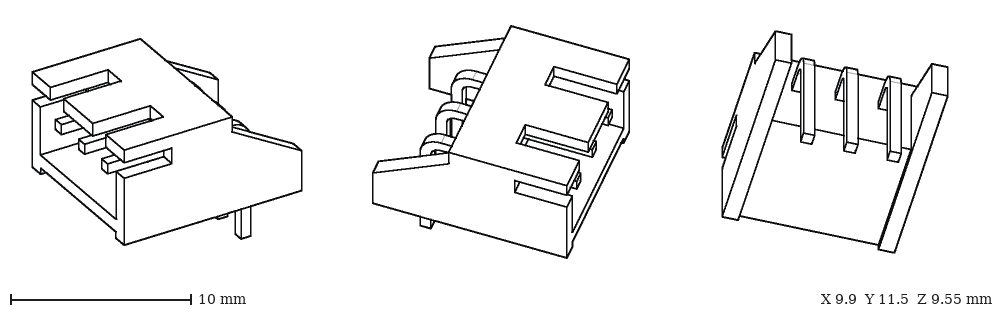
import cadquery as cq

width = 9.9
length = 11.5
height = 6.14
body_length = 7.0

arm_thickness = 0.92
arm_shoulder_height = 5.16
arm_rear_height = 2.58
foot_height = 0.4

cavity_width = 8.15
cavity_floor = 1.23
cavity_ceiling = 5.32
cavity_depth = 4.68

notch_depth = 3.09
notch_bottom = 4.32
slot_width = 1.41
slot_depth = 3.73
slot_spacing = 4.55

pin_count = 3
pin_pitch = 2.48
pin_size = 0.64
pin_front = 0.22
pin_rear = 9.5
pin_top = 4.09
overall_height = 9.55
pin_bottom = height - overall_height
bend_radius = 1.23


def block(x_size, y_start, y_end, z_start, z_end, x_center=0):
    """Box centred on x_center, between the given Y and Z limits."""
    return (
        cq.Workplane("XY")
        .box(x_size, y_end - y_start, z_end - z_start, centered=(True, False, False))
        .translate((x_center, y_start, z_start))
    )


def make_housing():
    side_outline = [
        (0, 0),
        (length, 0),
        (length, arm_rear_height),
        (body_length, arm_shoulder_height),
        (body_length, height),
        (0, height),
    ]
    housing = cq.Workplane("YZ").polyline(side_outline).close().extrude(width / 2, both=True)

    gap_width = width - 2 * arm_thickness
    housing = housing.cut(block(gap_width, body_length, length, 0, height))
    housing = housing.cut(block(gap_width, 0, body_length, 0, foot_height))

    housing = housing.cut(block(cavity_width, 0, cavity_depth, cavity_floor, cavity_ceiling))
    housing = housing.cut(block(width, 0, notch_depth, notch_bottom, cavity_ceiling))
    for side in (-1, 1):
        slot_x = side * slot_spacing / 2
        housing = housing.cut(block(slot_width, 0, slot_depth, cavity_ceiling, height, slot_x))
    return housing


def make_pin(x_center):
    """Square pin running rearward, then bent down through a round corner."""
    inner_radius = bend_radius - pin_size
    pin = block(pin_size, pin_front, pin_rear, pin_bottom, pin_top, x_center)
    pin = pin.edges("|X and >Y and >Z").fillet(bend_radius)
    below_bend = block(
        pin_size, pin_front, pin_rear - pin_size, pin_bottom, pin_top - pin_size, x_center
    )
    below_bend = below_bend.edges("|X and >Y and >Z").fillet(inner_radius)
    return pin.cut(below_bend)


result = make_housing()
for index in range(pin_count):
    pin_x = (index - (pin_count - 1) / 2) * pin_pitch
    result = result.union(make_pin(pin_x))